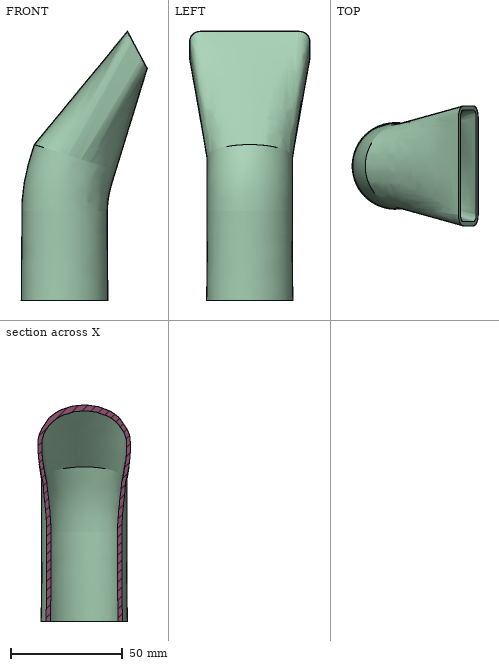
import cadquery as cq
import math

wall = 1.9

socket_radius = 19.5
neck_radius = 19.2
taper_height = 29.9
straight_top = 40.1

bend_end_x = 4.7
bend_end_z = 64.2
bend_tilt = 17.7

overall_height = 120.9
reach_x = 37.1
mouth_width = 53.9
mouth_depth = 19.0
mouth_corner = 5.0
mouth_tilt = 62.1

side_angle = 9.0
corner_angle = 22.0

mouth_x = reach_x - mouth_depth / 2 * math.cos(math.radians(mouth_tilt))
mouth_z = overall_height - mouth_depth / 2 * math.sin(math.radians(mouth_tilt))


def tilted_plane(x, z, tilt):
    """Plane whose normal leans from +Z toward +X by tilt degrees; local y stays along Y."""
    angle = math.radians(tilt)
    x_direction = (math.cos(angle), 0, -math.sin(angle))
    normal = (math.sin(angle), 0, math.cos(angle))
    return cq.Plane(origin=(x, 0, z), xDir=x_direction, normal=normal)


def wire_on(plane, sketch):
    """Copy a closed outline drawn in the XY plane onto another plane."""
    return sketch.wire().val().moved(cq.Location(plane))


def round_outline(radius):
    """Circle of eight arcs, divided to match the eight edges of the mouth."""
    def point(angle):
        a = math.radians(angle)
        return (radius * math.cos(a), radius * math.sin(a))

    breaks = []
    for side in (90, 270):
        for offset in (-corner_angle, -side_angle, side_angle, corner_angle):
            breaks.append(side + offset)
    outline = cq.Workplane("XY").moveTo(*point(breaks[0]))
    for start, end in zip(breaks, breaks[1:] + [breaks[0] + 360]):
        outline = outline.threePointArc(point((start + end) / 2), point(end))
    return outline


def mouth_outline(inset):
    """Rounded rectangle, starting where its +X long edge meets the +Y corner."""
    half_depth = mouth_depth / 2 - inset
    half_width = mouth_width / 2 - inset
    radius = mouth_corner - inset
    flat_x = half_depth - radius
    flat_y = half_width - radius
    return (
        cq.Workplane("XY")
        .moveTo(half_depth, flat_y)
        .radiusArc((flat_x, half_width), -radius)
        .lineTo(-flat_x, half_width)
        .radiusArc((-half_depth, flat_y), -radius)
        .lineTo(-half_depth, -flat_y)
        .radiusArc((-flat_x, -half_width), -radius)
        .lineTo(flat_x, -half_width)
        .radiusArc((half_depth, -flat_y), -radius)
        .close()
    )


def socket(inset):
    top_radius = neck_radius - inset
    profile = [
        (0, 0),
        (socket_radius - inset, 0),
        (top_radius, taper_height),
        (top_radius, straight_top),
        (0, straight_top),
    ]
    return cq.Workplane("XZ").polyline(profile).close().revolve(360, (0, 0), (0, 1))


def bend(inset):
    tilt = math.radians(bend_tilt)
    path = cq.Workplane("XZ").spline(
        [(0, straight_top), (bend_end_x, bend_end_z)],
        tangents=[(0, 1), (math.sin(tilt), math.cos(tilt))],
    )
    section = cq.Workplane("XY", origin=(0, 0, straight_top)).circle(neck_radius - inset)
    return section.sweep(path)


def flare(inset):
    round_end = tilted_plane(bend_end_x, bend_end_z, bend_tilt)
    mouth_end = tilted_plane(mouth_x, mouth_z, mouth_tilt)
    wires = [
        wire_on(round_end, round_outline(neck_radius - inset)),
        wire_on(mouth_end, mouth_outline(inset)),
    ]
    return cq.Workplane(cq.Solid.makeLoft(wires, True))


def nozzle(inset):
    """Filled nozzle whose walls are moved inward by inset; both ends stay in place."""
    return socket(inset).union(bend(inset)).union(flare(inset))


result = nozzle(0).cut(nozzle(wall))